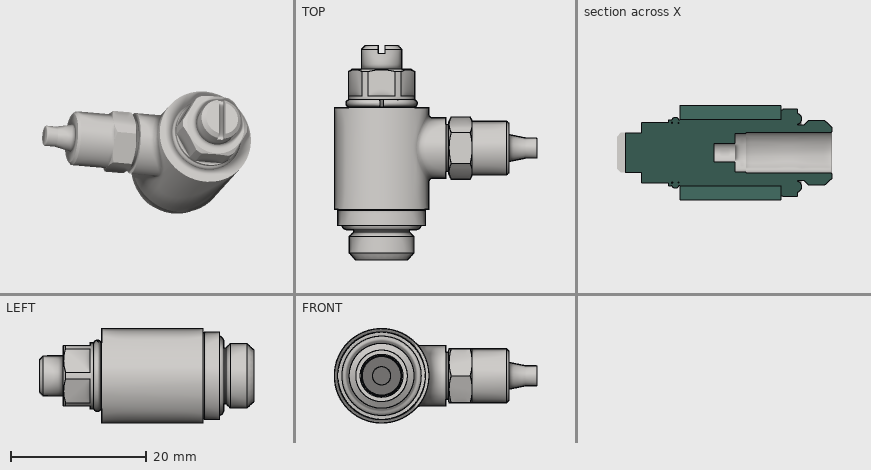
import cadquery as cq
import math


SLEEVE_DIA = 14.0
SLEEVE_BACK = 5.97
SLEEVE_LENGTH = 15.02
SLEEVE_FRONT = SLEEVE_BACK - SLEEVE_LENGTH
SHAFT_DIA = 9.85

BRANCH_DIA = 9.0
BRANCH_END = 9.5
BRANCH_FILLET = 0.48
BRANCH_NECK_DIA = 7.0
NUT_START = 9.87
NUT_END = 13.4
NUT_FLATS = 8.0
NUT_START_FACE_DIA = 7.55
NUT_CHAMFER_SLOPE = 2.0
FERRULE_DIA = NUT_FLATS
FERRULE_END = 18.85
FERRULE_CHAMFER = 0.38
STUB_ROOT_DIA = 4.0
STUB_TIP_DIA = 3.0
STUB_CONE_END = 21.35
STUB_END = 30.0 - SLEEVE_DIA / 2
STUB_ROUND = 0.2

BOLT_LENGTH = 31.75
BOLT_BACK = 15.18
BOLT_FRONT = BOLT_BACK - BOLT_LENGTH

SPINDLE_DIA = 6.0
SPINDLE_CHAMFER = 0.57
SLOT_WIDTH = 0.95
SLOT_DEPTH = 1.17

HEX_BACK = 11.65
HEX_FRONT = 7.68
HEX_FLATS = 9.0
HEX_FACE_DIA = 8.75
HEX_CHAMFER = 0.35

RING_WIRE_DIA = 1.08
RING_OUTER_DIA = 10.57
RING_FRONT = 6.05
RING_GAP = 0.55
GROOVE_DIA = 8.75

FLANGE_DIA = 13.0
FLANGE_SHOULDER_DIA = 12.8
FLANGE_BACK = -9.25
FLANGE_FRONT = -11.45
SEAL_DIA = 11.8
SEAL_FRONT = -12.1

RELIEF_DIA = 8.3
SEAL_WIRE_DIA = (SEAL_DIA - RELIEF_DIA) / 2
RELIEF_FRONT = -12.4
THREAD_DIA = 9.6
THREAD_START = -13.08
THREAD_END = -15.5
TIP_DIA = 7.62

MOUTH_DIA = 6.35
MOUTH_DEPTH = 0.15
BORE_DIA = 6.0
BORE_DEPTH = 12.7
INNER_BORE_DIA = 5.7
INNER_BORE_DEPTH = 1.6
PASSAGE_DIA = 2.7
PASSAGE_DEPTH = 3.18


def cylinder_y(diameter, y_start, y_end):
    """Cylinder on the Y axis."""
    length = y_end - y_start
    return cq.Workplane("XZ", origin=(0, y_start, 0)).circle(diameter / 2).extrude(-length)


def cylinder_x(diameter, x_start, x_end):
    """Cylinder on the X axis."""
    return cq.Workplane("YZ", origin=(x_start, 0, 0)).circle(diameter / 2).extrude(x_end - x_start)


def turned_y(stations):
    """Solid of revolution about Y through (diameter, y) stations."""
    points = [(diameter / 2, y) for diameter, y in stations]
    outline = [(0, points[0][1])] + points + [(0, points[-1][1])]
    return cq.Workplane("XY").polyline(outline).close().revolve(360, (0, 0), (0, 1))


def turned_x(stations):
    """Solid of revolution about X through (diameter, x) stations."""
    points = [(x, diameter / 2) for diameter, x in stations]
    outline = [(points[0][0], 0)] + points + [(points[-1][0], 0)]
    return cq.Workplane("XY").polyline(outline).close().revolve(360, (0, 0), (1, 0))


def ring_y(outer_diameter, wire_diameter, y_center):
    """Torus around the Y axis."""
    wire_center = (outer_diameter - wire_diameter) / 2
    return (
        cq.Workplane("XY", origin=(0, y_center, 0))
        .center(wire_center, 0)
        .circle(wire_diameter / 2)
        .revolve(360, (-wire_center, 0), (-wire_center, 1))
    )


def corner_dia(across_flats):
    return across_flats / math.cos(math.pi / 6)


def make_branch_nut():
    """Hexagon with corners at +Y and -Y, turned down conically at both ends."""
    corners = corner_dia(NUT_FLATS)
    start_chamfer = (corners - NUT_START_FACE_DIA) / 2 / NUT_CHAMFER_SLOPE
    end_chamfer = (corners - FERRULE_DIA) / 2 / NUT_CHAMFER_SLOPE
    prism = cq.Workplane("YZ", origin=(NUT_START, 0, 0)).polygon(6, corners).extrude(NUT_END - NUT_START)
    envelope = turned_x([
        (NUT_START_FACE_DIA, NUT_START),
        (corners, NUT_START + start_chamfer),
        (corners, NUT_END - end_chamfer),
        (FERRULE_DIA, NUT_END),
    ])
    return prism.intersect(envelope)


def make_stub():
    """Tapered hose stub with a rounded tip edge."""
    stub = turned_x([
        (STUB_ROOT_DIA, FERRULE_END),
        (STUB_TIP_DIA, STUB_CONE_END),
        (STUB_TIP_DIA, STUB_END),
    ])
    return stub.faces(">X").edges().fillet(STUB_ROUND)


def make_housing():
    sleeve = cylinder_y(SLEEVE_DIA, SLEEVE_FRONT, SLEEVE_BACK)
    branch = cylinder_x(BRANCH_DIA, 0, BRANCH_END)
    tee = sleeve.union(branch)
    junction = cq.selectors.BoxSelector(
        (0, -BRANCH_DIA / 2, -BRANCH_DIA / 2),
        (BRANCH_END - BRANCH_FILLET, BRANCH_DIA / 2, BRANCH_DIA / 2),
    )
    tee = tee.edges(junction).fillet(BRANCH_FILLET)
    neck = cylinder_x(BRANCH_NECK_DIA, BRANCH_END, NUT_START)
    ferrule = cylinder_x(FERRULE_DIA, NUT_END, FERRULE_END).faces(">X").edges().chamfer(FERRULE_CHAMFER)
    body = tee.union(neck).union(make_branch_nut()).union(ferrule).union(make_stub())
    return body.cut(cylinder_y(SHAFT_DIA, SLEEVE_FRONT, SLEEVE_BACK))


def make_bolt_hex():
    """Hexagon with corners at +X and -X, trimmed to the shaft diameter."""
    prism = (
        cq.Workplane("XZ", origin=(0, HEX_FRONT, 0))
        .polygon(6, corner_dia(HEX_FLATS))
        .extrude(HEX_FRONT - HEX_BACK)
    )
    envelope = turned_y([
        (SHAFT_DIA, HEX_FRONT),
        (SHAFT_DIA, HEX_BACK - HEX_CHAMFER),
        (HEX_FACE_DIA, HEX_BACK),
    ])
    return prism.intersect(envelope)


def make_spindle():
    """Slotted adjusting end behind the hexagon."""
    spindle = cylinder_y(SPINDLE_DIA, HEX_BACK, BOLT_BACK).faces(">Y").edges().chamfer(SPINDLE_CHAMFER)
    slot = cq.Workplane("XY").box(SLOT_WIDTH, 2 * SLOT_DEPTH, SPINDLE_DIA).translate((0, BOLT_BACK, 0))
    return spindle.cut(slot)


def make_snap_ring():
    """Round-wire ring, open at the +Z side."""
    ring_y_center = RING_FRONT + RING_WIRE_DIA / 2
    ring = ring_y(RING_OUTER_DIA, RING_WIRE_DIA, ring_y_center)
    gap = (
        cq.Workplane("XY", origin=(0, ring_y_center, 0))
        .rect(RING_GAP, RING_WIRE_DIA)
        .extrude(RING_OUTER_DIA)
    )
    return ring.cut(gap)


def make_seal():
    """Round seal bead partly sunk into the flange, touching the thread relief."""
    return ring_y(SEAL_DIA, SEAL_WIRE_DIA, SEAL_FRONT + SEAL_WIRE_DIA / 2)


def make_bore():
    """Blind flow bore with a chamfered mouth, narrowing in two steps."""
    shoulder = BOLT_FRONT + BORE_DEPTH
    floor = shoulder + INNER_BORE_DEPTH
    return turned_y([
        (MOUTH_DIA, BOLT_FRONT),
        (BORE_DIA, BOLT_FRONT + MOUTH_DEPTH),
        (BORE_DIA, shoulder),
        (INNER_BORE_DIA, shoulder),
        (INNER_BORE_DIA, floor),
        (PASSAGE_DIA, floor),
        (PASSAGE_DIA, floor + PASSAGE_DEPTH),
    ])


def make_bolt():
    stem = turned_y([
        (TIP_DIA, BOLT_FRONT),
        (THREAD_DIA, THREAD_END),
        (THREAD_DIA, THREAD_START),
        (RELIEF_DIA, RELIEF_FRONT),
        (RELIEF_DIA, FLANGE_FRONT),
        (FLANGE_DIA, FLANGE_FRONT),
        (FLANGE_DIA, FLANGE_BACK),
        (FLANGE_SHOULDER_DIA, FLANGE_BACK),
        (FLANGE_SHOULDER_DIA, SLEEVE_FRONT),
        (SHAFT_DIA, SLEEVE_FRONT),
        (SHAFT_DIA, RING_FRONT),
        (GROOVE_DIA, RING_FRONT),
        (GROOVE_DIA, RING_FRONT + RING_WIRE_DIA),
        (SHAFT_DIA, RING_FRONT + RING_WIRE_DIA),
        (SHAFT_DIA, HEX_FRONT),
    ])
    body = stem.union(make_seal()).union(make_snap_ring())
    body = body.union(make_bolt_hex()).union(make_spindle())
    return body.cut(make_bore())


housing = make_housing()
bolt = make_bolt()
result = cq.Compound.makeCompound([housing.solids().val(), bolt.solids().val()])